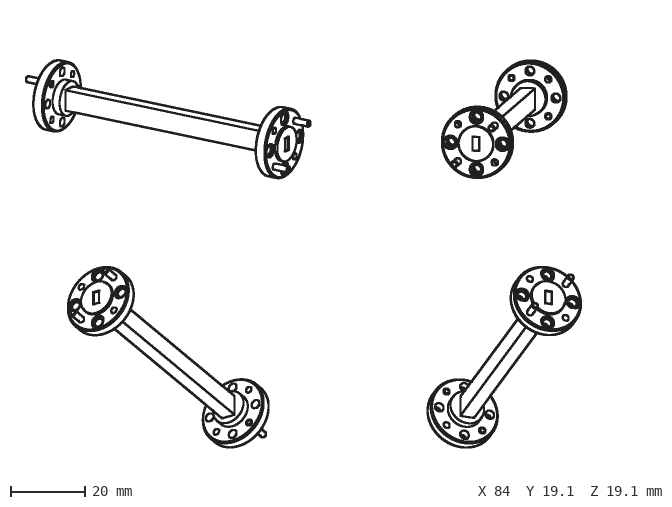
import cadquery as cq
import math

guide_length = 76.2
tube_height = 5.79
tube_width = 3.91
bore_height = 3.76
bore_width = 1.88
bore_depth = 0.4

flange_diameter = 19.05
flange_thickness = 3.35
flange_chamfer = 0.35
boss_diameter = 9.525
boss_height = 0.75
hub_length = 2.25
bolt_circle_diameter = 14.29

screw_hole_diameter = 2.4
counterbore_diameter = 3.6
counterbore_depth = 0.6

pin_diameter = 1.7
pin_chamfer = 0.22
overall_length = 83.95

bolt_circle_radius = bolt_circle_diameter / 2
contact_x = guide_length / 2
flange_front_x = contact_x - boss_height
flange_back_x = flange_front_x - flange_thickness
hub_end_x = flange_back_x - hub_length
pin_tip_x = overall_length / 2
pin_length = pin_tip_x - flange_back_x

SCREW_ANGLES = (0, 90, 180, 270)
RIGHT_PIN_ANGLES = (45, 225)
LEFT_PIN_ANGLES = (135, 315)


def circle_points(angles):
    """Points on the bolt circle, as (Y, Z) pairs."""
    return [
        (
            bolt_circle_radius * math.cos(math.radians(angle)),
            bolt_circle_radius * math.sin(math.radians(angle)),
        )
        for angle in angles
    ]


def rods(points, diameter, start_x, length):
    """Round rods along +X from start_x, centred on the (Y, Z) points."""
    return (
        cq.Workplane("YZ", origin=(start_x, 0, 0))
        .pushPoints(points)
        .circle(diameter / 2)
        .extrude(length)
    )


def make_flange():
    """Flange of the +X end, its contact face towards +X."""
    hub = rods([(0, 0)], boss_diameter, hub_end_x, contact_x - hub_end_x)
    disc = rods([(0, 0)], flange_diameter, flange_back_x, flange_thickness)
    disc = disc.edges().chamfer(flange_chamfer)
    screws = circle_points(SCREW_ANGLES)
    dowels = circle_points(RIGHT_PIN_ANGLES + LEFT_PIN_ANGLES)
    counterbore_x = flange_front_x - counterbore_depth
    return (
        disc.cut(rods(screws, screw_hole_diameter, flange_back_x, flange_thickness))
        .cut(rods(screws, counterbore_diameter, counterbore_x, counterbore_depth))
        .cut(rods(dowels, pin_diameter, flange_back_x, flange_thickness))
        .union(hub)
    )


def make_bore_recess():
    """Rectangular recess in the contact face of the +X end."""
    return (
        cq.Workplane("YZ", origin=(contact_x - bore_depth, 0, 0))
        .rect(bore_width, bore_height)
        .extrude(bore_depth)
    )


def make_pin(y, z, start_x):
    """Pin along +X from start_x, chamfered at both ends."""
    return rods([(y, z)], pin_diameter, start_x, pin_length).edges("%CIRCLE").chamfer(pin_chamfer)


tube = cq.Workplane("YZ", origin=(-hub_end_x, 0, 0)).rect(tube_width, tube_height).extrude(2 * hub_end_x)
end = make_flange().cut(make_bore_recess())
waveguide = tube.union(end).union(end.mirror("YZ"))

pins = []
for y, z in circle_points(RIGHT_PIN_ANGLES):
    pins.append(make_pin(y, z, flange_back_x))
for y, z in circle_points(LEFT_PIN_ANGLES):
    pins.append(make_pin(y, z, -pin_tip_x))

result = cq.Compound.makeCompound([waveguide.val(), *[pin.val() for pin in pins]])